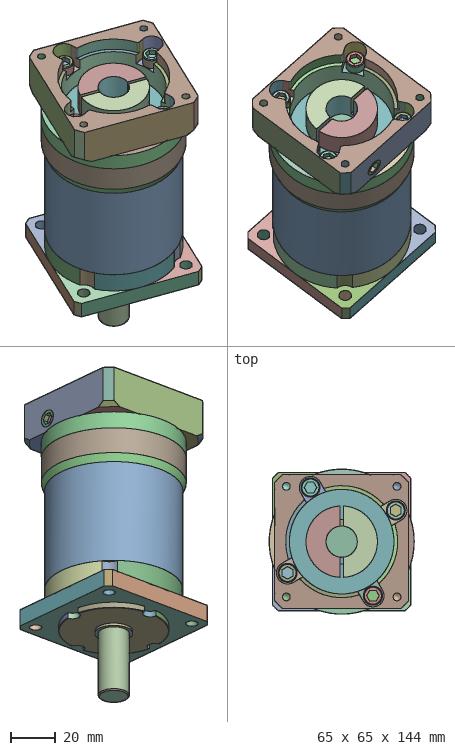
import cadquery as cq
import math

TOTAL_HEIGHT = 144.0
FLANGE_BOTTOM = 35.0
FLANGE_TOP = 43.0
NECK_TOP = 52.7
CONE_BOTTOM = 101.5
CONE_TOP = 105.3
ADAPTER_BOTTOM = 117.5
PLATE_BOTTOM = 125.4

BODY_DIAMETER = 61.9
FLANGE_TURNED_DIAMETER = 84.0
MOUNT_CIRCLE_DIAMETER = 70.0
FLANGE_HOLE_DIAMETER = 5.5
WASHER_RELIEF_DIAMETER = 11.0
PILOT_DIAMETER = 49.4
PILOT_HEIGHT = 2.7
PILOT_CHAMFER = 0.22
PILOT_NOTCH_DIAMETER = 6.9
PILOT_NOTCH_COUNT = 4
COLLAR_DIAMETER = 17.0
COLLAR_HEIGHT = 1.2
SHAFT_DIAMETER = 14.0
SHAFT_CHAMFER = 0.6

RING_DIAMETER = 65.0
PLATE_WIDTH = 59.9
PLATE_TURNED_DIAMETER = 79.9
PLATE_CHAMFER = 2.2
MOTOR_PILOT_DIAMETER = 50.1
MOTOR_PILOT_DEPTH = 6.0
CAVITY_DIAMETER = 46.8
CAVITY_DEPTH = 20.3
MOTOR_HOLE_DIAMETER = 3.5
MOTOR_HOLE_DEPTH = 10.1
DRILL_POINT_ANGLE = 118

SCREW_CIRCLE_RADIUS = 28.0
SCREW_ANGLES = (30, 120, 210, 300)
SCREW_POCKET_DIAMETER = 10.0
SCREW_POCKET_DEPTH = 11.2
POCKET_MOUTH_RADIUS = 0.9
HEAD_DIAMETER = 8.5
HEAD_HEIGHT = 5.0
HEAD_CHAMFER = 0.5
HEX_SIDES = 6
HEX_WIDTH = 4.9
HEX_DEPTH = 2.6

PLUG_DIAMETER = 7.9
PLUG_RECESS = 0.1
PLUG_Y = 11.1
PLUG_DEPTH_BELOW_TOP = 12.1

HUB_DIAMETER = 32.0
HUB_DEPTH_BELOW_TOP = 6.3
HUB_HEIGHT = 11.5
HUB_BORE_DIAMETER = 14.0
HUB_SLIT_WIDTH = 1.5
HUB_NECK_DIAMETER = 20.0

HEX_DIAMETER = HEX_WIDTH / math.cos(math.pi / HEX_SIDES)
CAVITY_FLOOR = TOTAL_HEIGHT - CAVITY_DEPTH
HUB_TOP = TOTAL_HEIGHT - HUB_DEPTH_BELOW_TOP
HUB_BOTTOM = HUB_TOP - HUB_HEIGHT


def cylinder(diameter, bottom, top):
    """Solid cylinder on the Z axis between two heights."""
    return cq.Workplane("XY").workplane(offset=bottom).circle(diameter / 2).extrude(top - bottom)


def turned_square(width, turned_blank, bottom, top):
    """Square plate whose corners are cut back to a round blank."""
    square = cq.Workplane("XY").workplane(offset=bottom).rect(width, width).extrude(top - bottom)
    return square.intersect(turned_blank)


def corner_points():
    """Centres of the mounting holes, one in each corner."""
    pitch = MOUNT_CIRCLE_DIAMETER / math.sqrt(2)
    return [(x, y) for x in (-pitch / 2, pitch / 2) for y in (-pitch / 2, pitch / 2)]


def make_output_flange():
    """Square mounting flange with its neck, centring pilot and output shaft."""
    blank = cylinder(FLANGE_TURNED_DIAMETER, FLANGE_BOTTOM, FLANGE_TOP)
    flange = turned_square(BODY_DIAMETER, blank, FLANGE_BOTTOM, FLANGE_TOP)
    holes = (
        cq.Workplane("XY").workplane(offset=FLANGE_BOTTOM).pushPoints(corner_points())
        .circle(FLANGE_HOLE_DIAMETER / 2).extrude(FLANGE_TOP - FLANGE_BOTTOM)
    )
    flange = flange.cut(holes)

    reliefs = (
        cq.Workplane("XY").workplane(offset=FLANGE_TOP).pushPoints(corner_points())
        .circle(WASHER_RELIEF_DIAMETER / 2).extrude(NECK_TOP - FLANGE_TOP)
    )
    neck = cylinder(BODY_DIAMETER, FLANGE_TOP, NECK_TOP).cut(reliefs)

    pilot_bottom = FLANGE_BOTTOM - PILOT_HEIGHT
    notches = (
        cq.Workplane("XY").workplane(offset=pilot_bottom)
        .polarArray(PILOT_DIAMETER / 2, 0, 360, PILOT_NOTCH_COUNT)
        .circle(PILOT_NOTCH_DIAMETER / 2).extrude(PILOT_HEIGHT)
    )
    pilot = cylinder(PILOT_DIAMETER, pilot_bottom, FLANGE_BOTTOM).faces("<Z").chamfer(PILOT_CHAMFER)
    pilot = pilot.cut(notches)

    collar = cylinder(COLLAR_DIAMETER, pilot_bottom - COLLAR_HEIGHT, pilot_bottom)
    shaft = cylinder(SHAFT_DIAMETER, 0, pilot_bottom).faces("<Z").chamfer(SHAFT_CHAMFER)
    return flange.union(neck).union(pilot).union(collar).union(shaft)


def make_gear_body():
    """Cylindrical gear body that widens through a cone to the adapter diameter."""
    profile = [
        (0, NECK_TOP),
        (BODY_DIAMETER / 2, NECK_TOP),
        (BODY_DIAMETER / 2, CONE_BOTTOM),
        (RING_DIAMETER / 2, CONE_TOP),
        (RING_DIAMETER / 2, ADAPTER_BOTTOM),
        (0, ADAPTER_BOTTOM),
    ]
    return cq.Workplane("XZ").polyline(profile).close().revolve(360, (0, 0), (0, 1))


def motor_hole(x, y):
    """Drilled hole with a conical bottom, opening at the top of the adapter."""
    radius = MOTOR_HOLE_DIAMETER / 2
    point_depth = radius / math.tan(math.radians(DRILL_POINT_ANGLE / 2))
    profile = [(0, 0), (radius, 0), (radius, -MOTOR_HOLE_DEPTH), (0, -MOTOR_HOLE_DEPTH - point_depth)]
    drill = cq.Workplane("XZ").polyline(profile).close().revolve(360, (0, 0), (0, 1))
    return drill.translate((x, y, TOTAL_HEIGHT))


def screw_pocket(angle, depth):
    """Round-ended slot around one screw, open toward the axis."""
    base = cq.Workplane("XY").workplane(offset=TOTAL_HEIGHT - depth)
    round_end = base.center(SCREW_CIRCLE_RADIUS, 0).circle(SCREW_POCKET_DIAMETER / 2).extrude(depth)
    channel = (
        base.center(SCREW_CIRCLE_RADIUS / 2, 0)
        .rect(SCREW_CIRCLE_RADIUS, SCREW_POCKET_DIAMETER).extrude(depth)
    )
    return round_end.union(channel).rotate((0, 0, 0), (0, 0, 1), angle)


def motor_pilot_recess():
    """Locating recess for the motor, with rounded corners where the screw pockets open into it."""
    recess = cylinder(MOTOR_PILOT_DIAMETER, TOTAL_HEIGHT - MOTOR_PILOT_DEPTH, TOTAL_HEIGHT)
    for angle in SCREW_ANGLES:
        recess = recess.union(screw_pocket(angle, MOTOR_PILOT_DEPTH))
    mouth_edges = recess.edges("|Z").filter(
        lambda edge: math.hypot(edge.Center().x, edge.Center().y) < SCREW_CIRCLE_RADIUS
    )
    return mouth_edges.fillet(POCKET_MOUTH_RADIUS)


def screw_head(angle):
    """Socket head standing on the floor of its pocket."""
    floor = TOTAL_HEIGHT - SCREW_POCKET_DEPTH
    head = cylinder(HEAD_DIAMETER, floor, floor + HEAD_HEIGHT).faces(">Z").chamfer(HEAD_CHAMFER)
    socket = (
        cq.Workplane("XY").workplane(offset=floor + HEAD_HEIGHT - HEX_DEPTH)
        .polygon(HEX_SIDES, HEX_DIAMETER).extrude(HEX_DEPTH)
    )
    head = head.cut(socket).translate((SCREW_CIRCLE_RADIUS, 0, 0))
    return head.rotate((0, 0, 0), (0, 0, 1), angle)


def access_plug_recess():
    """Shallow round recess with a hexagon socket in the -X side of the adapter."""
    face = cq.Workplane("YZ", origin=(-PLATE_WIDTH / 2, PLUG_Y, TOTAL_HEIGHT - PLUG_DEPTH_BELOW_TOP))
    recess = face.circle(PLUG_DIAMETER / 2).extrude(PLUG_RECESS)
    return recess.union(face.polygon(HEX_SIDES, HEX_DIAMETER).extrude(HEX_DEPTH))


def make_hub():
    """Bored and slit clamping hub on its narrower neck."""
    slit = (
        cq.Workplane("XY").workplane(offset=HUB_BOTTOM).rect(HUB_SLIT_WIDTH, HUB_DIAMETER).extrude(HUB_HEIGHT)
    )
    clamp = cylinder(HUB_DIAMETER, HUB_BOTTOM, HUB_TOP).cut(slit)
    neck = cylinder(HUB_NECK_DIAMETER, CAVITY_FLOOR, HUB_BOTTOM)
    bore = cylinder(HUB_BORE_DIAMETER, CAVITY_FLOOR, HUB_TOP)
    return clamp.union(neck).cut(bore)


def make_adapter():
    """Square motor plate on a round ring, with its cavity, screws, plug and clamping hub."""
    blank = cylinder(PLATE_TURNED_DIAMETER, PLATE_BOTTOM, TOTAL_HEIGHT).faces("<Z").chamfer(PLATE_CHAMFER)
    plate = turned_square(PLATE_WIDTH, blank, PLATE_BOTTOM, TOTAL_HEIGHT)
    adapter = plate.union(cylinder(RING_DIAMETER, ADAPTER_BOTTOM, PLATE_BOTTOM))
    adapter = adapter.cut(motor_pilot_recess())
    adapter = adapter.cut(cylinder(CAVITY_DIAMETER, CAVITY_FLOOR, TOTAL_HEIGHT))
    for x, y in corner_points():
        adapter = adapter.cut(motor_hole(x, y))
    for angle in SCREW_ANGLES:
        adapter = adapter.cut(screw_pocket(angle, SCREW_POCKET_DEPTH))
        adapter = adapter.union(screw_head(angle))
    return adapter.cut(access_plug_recess()).union(make_hub())


output_flange = make_output_flange().solids()
gear_body = make_gear_body().solids()
adapter = make_adapter().solids()

result = cq.Compound.makeCompound([output_flange.val(), gear_body.val(), adapter.val()])